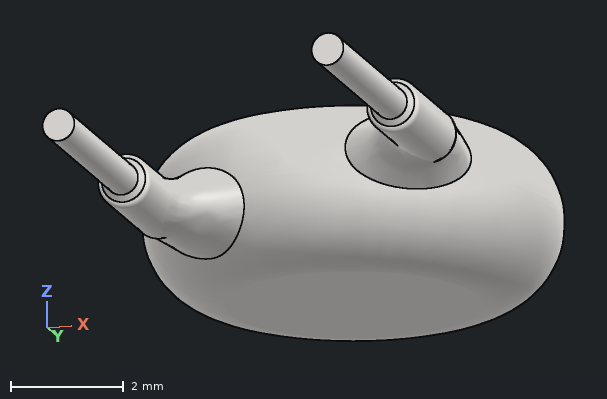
import cadquery as cq
import math

total_length = 13.5
disc_diameter = 7.5
disc_thickness = 3.0
disc_radius = disc_diameter / 2
rim_band_height = 0.08
rim_radius = (disc_thickness - rim_band_height) / 2

lead_offset_x = 2.5
lead_offset_z = 0.5
wire_radius = 0.3
wire_tip_y = disc_radius - total_length
sleeve_radius = 0.5
sleeve_start_y = -3.55
sleeve_end_y = -5.79
sleeve_end_round = 0.1
collar_length = 0.1
collar_radius = sleeve_radius - sleeve_end_round

sleeve_cut_tilt = 47.7
flare_inset = 0.007
flare_start_radius = sleeve_radius - flare_inset
sleeve_cut_half_width = flare_start_radius / math.cos(math.radians(sleeve_cut_tilt))
sleeve_cut_y = sleeve_start_y - sleeve_radius * math.tan(math.radians(sleeve_cut_tilt))
sleeve_cut_centre = (lead_offset_x, sleeve_cut_y, lead_offset_z)

flare_sections = [
    (sleeve_cut_centre, sleeve_cut_half_width, flare_start_radius, sleeve_cut_tilt),
    ((2.3, -3.44, 0.45), 0.84, 0.55, 40),
    ((1.93, -2.9, 0.31), 1.19, 0.8, 37),
    ((1.6, -2.4, 0.2), 1.32, 1.08, 35),
]


def make_disc():
    """Flat disc with rounded rims above and below a narrow straight band."""
    return (
        cq.Workplane("XY")
        .circle(disc_radius)
        .extrude(disc_thickness / 2, both=True)
        .faces("|Z")
        .edges()
        .fillet(rim_radius)
    )


def make_lead():
    """Right-hand lead: a sleeve with a rounded end, a tapered collar and a bare wire."""
    collar_end_y = sleeve_end_y - collar_length
    round_mid = sleeve_end_round * math.sqrt(0.5)
    profile = (
        cq.Workplane("XY", origin=(lead_offset_x, 0, lead_offset_z))
        .moveTo(0, sleeve_start_y)
        .lineTo(sleeve_radius, sleeve_start_y)
        .lineTo(sleeve_radius, sleeve_end_y + sleeve_end_round)
        .threePointArc(
            (collar_radius + round_mid, sleeve_end_y + sleeve_end_round - round_mid),
            (collar_radius, sleeve_end_y),
        )
        .lineTo(wire_radius, collar_end_y)
        .lineTo(wire_radius, wire_tip_y)
        .lineTo(0, wire_tip_y)
        .close()
    )
    return profile.revolve(360, (0, 0), (0, 1))


def make_flare():
    """Smooth transition from the right-hand sleeve into the disc rim."""
    wires = []
    for centre, half_width, half_height, tilt in flare_sections:
        angle = math.radians(tilt)
        width_direction = (math.cos(angle), math.sin(angle), 0)
        inward_normal = (-math.sin(angle), math.cos(angle), 0)
        plane = cq.Plane(origin=centre, xDir=width_direction, normal=inward_normal)
        wires.append(cq.Workplane(plane).ellipse(half_width, half_height).wire().val())
    return cq.Workplane("XY").add(cq.Solid.makeLoft(wires))


lead = make_lead().union(make_flare())
opposite_lead = lead.rotate((0, 0, 0), (0, 1, 0), 180)
result = make_disc().union(lead).union(opposite_lead)